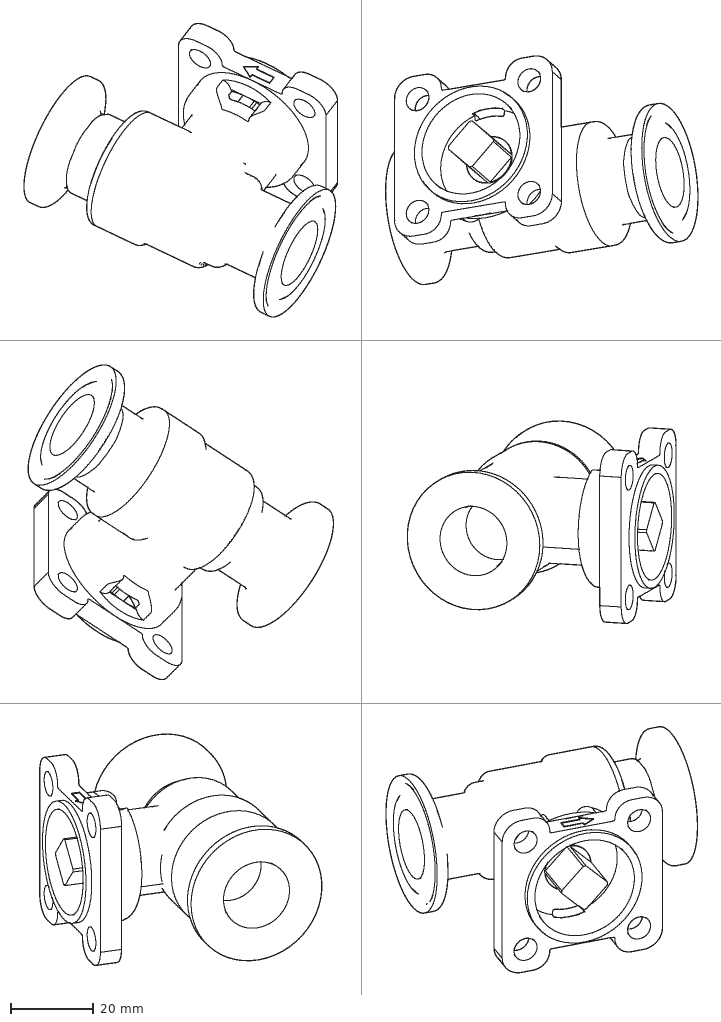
import cadquery as cq
import math


left_face_x = -37.0
right_face_x = 31.0
cap_joint_x = -18.9
pipe_radius = 10.0
bore_radius = 16.0 / 2
bore_mouth_radius = 8.6
bore_taper_length = 6.0
bore_depth = cap_joint_x - left_face_x

flange_radius = 17.0
flange_rim = 2.85
flange_rim_fillet = 0.8
flange_cone_angle = 20.0
flange_root_fillet = 2.0
groove_mid_radius = 13.8
groove_half_width = 1.5
groove_depth = 1.1
groove_inner_fillet = 0.6
groove_outer_fillet = 0.8

nut_start_x = -29.25
nut_apothem = 10.44
nut_corner_radius = 10.64
nut_edge_fillet = 0.95
cap_cone_start_x = -22.1
cap_cone_angle = 18.0
cap_rim_fillet = 1.1
cap_root_fillet = 0.8

barrel_radius = 30.5 / 2
barrel_end_x = -7.6
barrel_step_angle = 45.0
barrel_step_fillet = 1.1
middle_radius = 28.0 / 2
middle_end_x = 9.45
middle_edge_fillet = 1.55
middle_root_fillet = 0.3
collar_radius = 24.0 / 2
collar_end_x = 13.25
collar_step_angle = 60.0
collar_edge_fillet = 2.05
collar_root_fillet = 1.8

neck_radius = 10.505
rib_reach = 12.05
rib_half_width = 4.5
rib_edge_fillet = 1.0
rib_root_fillet = 0.55
neck_root_fillet = 0.5
neck_foot_fillet = 0.3

bonnet_radius = 32.0 / 2
bonnet_bottom_y = 20.95
bonnet_bottom_fillet = 3.0
cavity_radius = 26.0 / 2
cavity_floor_y = 24.7

plate_bottom_y = 29.0
plate_top_y = 34.5
plate_half_length = 20.95
plate_half_height = 16.05
lug_half_height = 21.0
lug_inner_x = 8.5
lug_outer_radius = 5.0
lug_inner_radius = 4.4
lug_root_fillet = 0.5
mount_hole_diameter = 6.0
mount_hole_offset = 14.8
spigot_radius = 30.0 / 2
spigot_top_y = 36.0

window_half_width = 3.9
window_floor_radius = 11.5
window_flare_start_z = 11.55
window_flare_radius = 2.9
window_corner_fillet = 0.5
window_top_y = 27.0
window_slot_top_y = 26.0

arrow_half_length = 4.0
arrow_head_length = 3.05
arrow_head_half_width = 1.9
arrow_shaft_half_width = 1.0
arrow_mid_y = 31.55
arrow_depth = 0.2

stem_radius = 6.0
stem_square = 9.0
stem_shoulder_y = 25.1
stem_top_y = spigot_top_y


def cylinder_x(radius, start_x, end_x):
    return cq.Workplane("YZ", origin=(start_x, 0, 0)).circle(radius).extrude(end_x - start_x)


def cylinder_y(radius, start_y, end_y):
    return cq.Workplane("XZ", origin=(0, start_y, 0)).circle(radius).extrude(start_y - end_y)


def ring_edge(radius, x):
    """Selects the circular edge of the given radius, around the pipe axis at x."""
    reach = radius + 0.035
    hole = radius - 0.035
    outer = cq.selectors.BoxSelector(
        (x - 0.035, -reach, -reach), (x + 0.035, reach, reach), boundingbox=True
    )
    inner = cq.selectors.BoxSelector(
        (x - 0.035, -hole, -hole), (x + 0.035, hole, hole), boundingbox=True
    )
    return outer - inner


def clamp_end(length):
    """A flange with its face at x = 0 and a pipe running to x = length."""
    cone_run = (flange_radius - pipe_radius) * math.tan(math.radians(flange_cone_angle))
    cone_end = flange_rim + cone_run
    end = (
        cq.Workplane("XY")
        .polyline(
            [
                (0, 0),
                (0, flange_radius),
                (flange_rim, flange_radius),
                (cone_end, pipe_radius),
                (length, pipe_radius),
                (length, 0),
            ]
        )
        .close()
        .revolve(360, (0, 0, 0), (1, 0, 0))
    )
    end = end.edges(ring_edge(flange_radius, flange_rim)).fillet(flange_rim_fillet)
    end = end.edges(ring_edge(pipe_radius, cone_end)).fillet(flange_root_fillet)
    groove_inner = groove_mid_radius - groove_half_width
    groove_outer = groove_mid_radius + groove_half_width
    end = end.cut(seal_groove())
    end = end.edges(ring_edge(groove_inner, 0)).fillet(groove_inner_fillet)
    return end.edges(ring_edge(groove_outer, 0)).fillet(groove_outer_fillet)


def seal_groove():
    """Rounded ring groove in a flange face at x = 0."""
    return (
        cq.Workplane("XY")
        .moveTo(0, groove_mid_radius - groove_half_width)
        .threePointArc((groove_depth, groove_mid_radius), (0, groove_mid_radius + groove_half_width))
        .close()
        .revolve(360, (0, 0, 0), (1, 0, 0))
    )


def flow_bore():
    """Bore that narrows from a face at x = 0, then runs straight to its full depth."""
    return (
        cq.Workplane("XY")
        .polyline(
            [
                (0, 0),
                (0, bore_mouth_radius),
                (bore_taper_length, bore_radius),
                (bore_depth, bore_radius),
                (bore_depth, 0),
            ]
        )
        .close()
        .revolve(360, (0, 0, 0), (1, 0, 0))
    )


def at_left_end(shape):
    return shape.translate((left_face_x, 0, 0))


def at_right_end(shape):
    return shape.mirror("YZ").translate((right_face_x, 0, 0))


def wrench_flats():
    """Octagon with rounded corners and a rounded front edge, a flat every 45 degrees."""
    length = cap_joint_x - nut_start_x
    octagon = (
        cq.Workplane("YZ", origin=(nut_start_x, 0, 0))
        .polygon(8, 2 * nut_apothem, circumscribed=True)
        .extrude(length)
    )
    nut = octagon.intersect(cylinder_x(nut_corner_radius, nut_start_x, cap_joint_x))
    return nut.faces("<X").edges().fillet(nut_edge_fillet)


def cap_shoulder():
    """Conical shoulder that widens from the pipe to the barrel."""
    cone_run = (barrel_radius - pipe_radius) * math.tan(math.radians(cap_cone_angle))
    rim_x = cap_cone_start_x + cone_run
    shoulder = (
        cq.Workplane("XY")
        .polyline(
            [
                (cap_cone_start_x, 0),
                (cap_cone_start_x, pipe_radius),
                (rim_x, barrel_radius),
                (cap_joint_x, barrel_radius),
                (cap_joint_x, 0),
            ]
        )
        .close()
        .revolve(360, (0, 0, 0), (1, 0, 0))
    )
    return shoulder.edges(ring_edge(barrel_radius, rim_x)).fillet(cap_rim_fillet)


def nut_root_edges():
    """Selects the edges where the wrench flats run into the conical shoulder."""
    reach = nut_corner_radius + 0.1
    return cq.selectors.BoxSelector(
        (cap_cone_start_x + 0.035, -reach, -reach),
        (cap_cone_start_x + 0.55, reach, reach),
        boundingbox=True,
    )


def make_cap():
    nut = wrench_flats().union(cap_shoulder())
    nut = nut.edges(nut_root_edges()).fillet(cap_root_fillet)
    cap = at_left_end(clamp_end(bore_depth)).union(nut)
    return cap.cut(at_left_end(flow_bore()))


def slope_run(drop, angle):
    """Length along the pipe of a conical step with the given drop in radius."""
    return drop / math.tan(math.radians(angle))


def barrel():
    """Stepped round barrel along the pipe axis."""
    middle_start_x = barrel_end_x + slope_run(barrel_radius - middle_radius, barrel_step_angle)
    pipe_overlap_x = right_face_x - bore_depth / 2
    pipe_start_x = collar_end_x + slope_run(collar_radius - pipe_radius, collar_step_angle)
    shape = (
        cq.Workplane("XY")
        .polyline(
            [
                (cap_joint_x, 0),
                (cap_joint_x, barrel_radius),
                (barrel_end_x, barrel_radius),
                (middle_start_x, middle_radius),
                (middle_end_x, middle_radius),
                (middle_end_x, collar_radius),
                (collar_end_x, collar_radius),
                (pipe_start_x, pipe_radius),
                (pipe_overlap_x, pipe_radius),
                (pipe_overlap_x, 0),
            ]
        )
        .close()
        .revolve(360, (0, 0, 0), (1, 0, 0))
    )
    for radius, x, fillet in [
        (barrel_radius, barrel_end_x, barrel_step_fillet),
        (middle_radius, middle_start_x, barrel_step_fillet),
        (middle_radius, middle_end_x, middle_edge_fillet),
        (collar_radius, middle_end_x, middle_root_fillet),
        (collar_radius, collar_end_x, collar_edge_fillet),
        (pipe_radius, pipe_start_x, collar_root_fillet),
    ]:
        shape = shape.edges(ring_edge(radius, x)).fillet(fillet)
    return shape


def neck():
    """Round neck with a rounded rib on its left and right sides."""
    ribs = cq.Workplane("XZ").rect(2 * rib_reach, 2 * rib_half_width).extrude(-bonnet_bottom_y)
    ribs = ribs.edges("|Y").fillet(rib_edge_fillet)
    shape = cylinder_y(neck_radius, 0, bonnet_bottom_y).union(ribs)
    rib_corners = cq.selectors.BoxSelector(
        (-rib_reach + 1.35, -0.7, -rib_half_width - 0.1),
        (rib_reach - 1.35, bonnet_bottom_y + 0.7, rib_half_width + 0.1),
    )
    return shape.edges("|Y").edges(rib_corners).fillet(rib_root_fillet)


def mounting_plate():
    """Rectangular plate with a rounded lug at each corner."""
    height = plate_top_y - plate_bottom_y
    lug_length = plate_half_length - lug_inner_x
    plate = cq.Workplane("XZ", origin=(0, plate_bottom_y, 0)).rect(
        2 * plate_half_length, 2 * plate_half_height
    ).extrude(-height)
    for side in (-1, 1):
        lugs = (
            cq.Workplane("XZ", origin=(side * (lug_inner_x + lug_length / 2), plate_bottom_y, 0))
            .rect(lug_length, 2 * lug_half_height)
            .extrude(-height)
        )
        outer, inner = (">X", "<X") if side > 0 else ("<X", ">X")
        lugs = lugs.edges("|Y").edges(outer).fillet(lug_outer_radius)
        lugs = lugs.edges("|Y").edges(inner).fillet(lug_inner_radius)
        plate = plate.union(lugs)
    root_zone = cq.selectors.BoxSelector(
        (-lug_inner_x - 0.1, plate_bottom_y - 0.7, -plate_half_height - 0.1),
        (lug_inner_x + 0.1, plate_top_y + 0.7, plate_half_height + 0.1),
    )
    plate = plate.edges("|Y").edges(root_zone).fillet(lug_root_fillet)
    holes = (
        cq.Workplane("XZ", origin=(0, plate_bottom_y, 0))
        .rect(2 * mount_hole_offset, 2 * mount_hole_offset, forConstruction=True)
        .vertices()
        .circle(mount_hole_diameter / 2)
        .extrude(-height)
    )
    return plate.cut(holes)


def bonnet_cup():
    """Cup below the plate and the spigot above it, before hollowing."""
    cup = cylinder_y(bonnet_radius, bonnet_bottom_y, plate_top_y)
    cup = cup.faces("<Y").edges().fillet(bonnet_bottom_fillet)
    return cup.union(cylinder_y(spigot_radius, plate_bottom_y, spigot_top_y))


def window():
    """Opening on the +Z side: a slot with a round floor, side walls that flare and a sloping top."""
    flare_x = window_half_width + window_flare_radius
    flare_z = window_flare_start_z + window_flare_radius
    bend = window_flare_radius * math.sqrt(0.5)
    bend_x = flare_x - bend
    bend_z = window_flare_start_z + bend
    above_z = bonnet_radius + 0.7
    below_y = bonnet_bottom_y - 0.7
    opening = (
        cq.Workplane("XZ", origin=(0, window_top_y, 0))
        .moveTo(-window_half_width, 0)
        .lineTo(-window_half_width, window_flare_start_z)
        .threePointArc((-bend_x, bend_z), (-flare_x, flare_z))
        .lineTo(-flare_x, above_z)
        .lineTo(flare_x, above_z)
        .lineTo(flare_x, flare_z)
        .threePointArc((bend_x, bend_z), (window_half_width, window_flare_start_z))
        .lineTo(window_half_width, 0)
        .close()
        .extrude(window_top_y - below_y)
    )
    opening = opening.cut(cylinder_y(window_floor_radius, below_y, window_top_y))
    floor_corners = cq.selectors.BoxSelector(
        (-window_half_width - 0.1, below_y - 0.7, 0),
        (window_half_width + 0.1, window_top_y + 0.7, window_flare_start_z - 0.15),
    )
    opening = opening.edges("|Y").edges(floor_corners).fillet(window_corner_fillet)
    hood = (
        cq.Workplane("YZ", origin=(-flare_x, 0, 0))
        .polyline(
            [
                (window_slot_top_y, 0),
                (window_slot_top_y, cavity_radius),
                (window_top_y, bonnet_radius),
                (window_top_y, 0),
            ]
        )
        .close()
        .extrude(2 * flare_x)
    )
    return opening.cut(hood)


def flow_arrow():
    """Arrow pointing to -X, sunk into the +Z edge of the plate."""
    neck_x = arrow_head_length - arrow_half_length
    return (
        cq.Workplane("XY", origin=(0, arrow_mid_y, plate_half_height))
        .polyline(
            [
                (-arrow_half_length, 0),
                (neck_x, arrow_head_half_width),
                (neck_x, arrow_shaft_half_width),
                (arrow_half_length, arrow_shaft_half_width),
                (arrow_half_length, -arrow_shaft_half_width),
                (neck_x, -arrow_shaft_half_width),
                (neck_x, -arrow_head_half_width),
            ]
        )
        .close()
        .extrude(-arrow_depth)
    )


def neck_root_edges():
    """Selects the edges where the neck and its ribs meet the bottom of the bonnet."""
    reach = rib_reach + 0.1
    return cq.selectors.BoxSelector(
        (-reach, bonnet_bottom_y - 0.035, -reach),
        (reach, bonnet_bottom_y + 0.035, reach),
        boundingbox=True,
    )


def neck_foot_edges():
    """Selects the edges around the foot of the neck, where it and its ribs run into the barrel."""
    lowest_y = math.sqrt(middle_radius**2 - neck_radius**2)
    return cq.selectors.BoxSelector(
        (-rib_reach - 0.1, lowest_y - 0.35, -neck_radius - 0.1),
        (rib_reach + 0.1, barrel_radius + 0.1, neck_radius + 0.1),
        boundingbox=True,
    )


def make_housing():
    line = barrel().union(at_right_end(clamp_end(bore_depth)))
    bonnet = neck().union(bonnet_cup())
    bonnet = bonnet.edges(neck_root_edges()).fillet(neck_root_fillet)
    housing = line.union(bonnet)
    housing = housing.edges(neck_foot_edges()).edges("not |Y").fillet(neck_foot_fillet)
    housing = housing.union(mounting_plate())
    housing = housing.cut(cylinder_y(cavity_radius, cavity_floor_y, spigot_top_y))
    housing = housing.cut(window()).cut(window().mirror("XY"))
    housing = housing.cut(flow_arrow())
    return housing.cut(at_right_end(flow_bore()))


def make_stem():
    """Stem standing on the cavity floor, its square turned 45 degrees with the corners rounded."""
    shoulder = cylinder_y(stem_radius, cavity_floor_y, stem_shoulder_y)
    square = (
        cq.Workplane("XZ", origin=(0, stem_shoulder_y, 0))
        .transformed(rotate=(0, 0, 45))
        .rect(stem_square, stem_square)
        .extrude(stem_shoulder_y - stem_top_y)
    )
    head = cylinder_y(stem_radius, stem_shoulder_y, stem_top_y).intersect(square)
    return shoulder.union(head)


housing = make_housing()
cap = make_cap()
stem = make_stem()

result = cq.Compound.makeCompound([housing.val(), cap.val(), stem.val()])